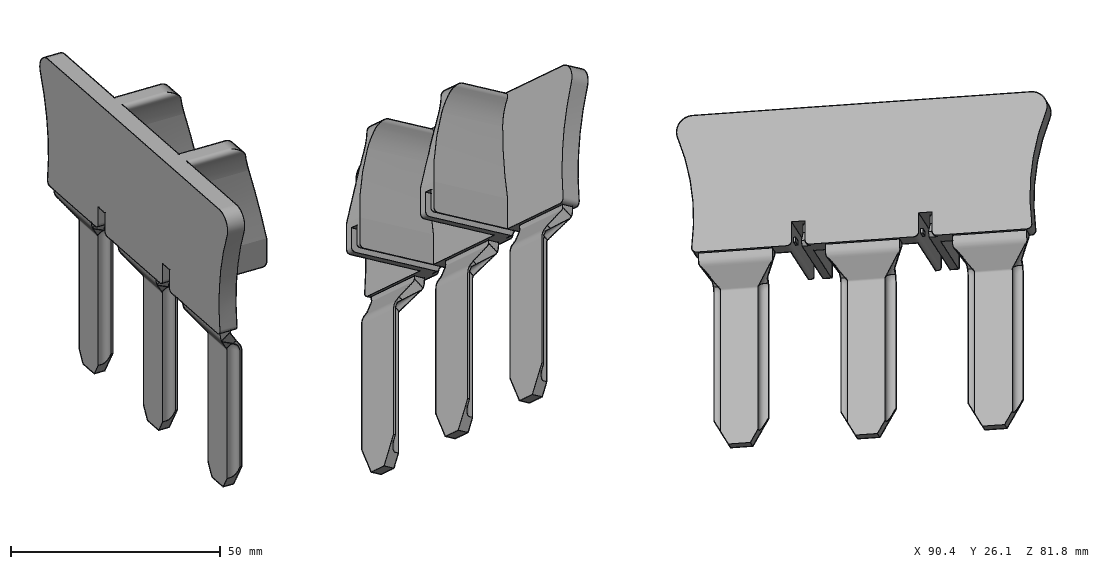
import cadquery as cq
import math


total_length = 90.4
plate_thickness = 4.7
plate_height = 34.6
fin_reach = 26.1
leg_pitch = 31.0
leg_centers = [-leg_pitch, 0.0, leg_pitch]
fin_centers = [-leg_pitch / 2, leg_pitch / 2]

plate_corner_radius = 4.0
plate_waist_half = 41.0
plate_waist_z = 8.5
bottom_round = 1.2

fin_half_width = 2.8
fin_edge_radius = 1.1
fin_waist_half = 0.7
fin_waist_z = 26.4
fin_straight_height = 7.6
fin_curve_mid = (23.9, 20.7)
fin_top_reach = 19.8
fin_top_round = 4.8

notch_half_width = 1.6
notch_height = 6.0
ridge_left = 0.7
ridge_depth = 2.3
ridge_slope_top = 3.8
ridge_tip_y = 0.3
ridge_tip_z = 1.2
ridge_foot_y = 1.1
nub_width = 0.5
nub_bottom = 1.6
nub_height = 1.2

strip_thickness = 2.9
strip_front_y = 0.9
leg_offset = 4.4
bend_angle = math.radians(36)
inner_bend_radius = 1.1
outer_bend_radius = inner_bend_radius + strip_thickness
bend_start_z = -0.9
bar_bottom = 8.1
bar_top = 16.3

leg_tip_z = -47.2
root_half_width = 9.0
leg_half_width = 6.7
taper_start_z = -2.6
taper_end_z = -6.9
tip_half_width = 2.7
tip_taper_z = -40.3

cove_wall_x = 4.6
cove_wall_depth = 0.9
cove_radius = 1.45
cove_start_x = 8.5
cove_start_scale = 0.05

margin = 0.9


def circle_point(center, radius, angle):
    return (center[0] + radius * math.cos(angle), center[1] + radius * math.sin(angle))


def flare_points(half_width, corner_radius, waist_half, waist_z):
    """Right-hand flare: a concave arc from the waist, tangent to a rounded top corner.

    Returns the arc radius and center, then the points: arc middle, arc end,
    corner middle, corner end.
    """
    corner = (half_width - corner_radius, plate_height - corner_radius)
    rise = corner[1] - waist_z
    inset = waist_half - corner[0]
    radius = (rise**2 + inset**2 - corner_radius**2) / (2 * (corner_radius - inset))
    center = (waist_half + radius, waist_z)
    tangent_angle = math.atan2(center[1] - corner[1], center[0] - corner[0])
    corner_mid_angle = (tangent_angle + math.pi / 2) / 2
    points = [
        circle_point(center, radius, math.pi + tangent_angle / 2),
        circle_point(corner, corner_radius, tangent_angle),
        circle_point(corner, corner_radius, corner_mid_angle),
        (corner[0], plate_height),
    ]
    return radius, center, points


def prism_along_y(sketch, y_start, y_end):
    """Extrude an XZ sketch from y_start to y_end."""
    return sketch.extrude(y_start - y_end).translate((0, y_start, 0))


def mirrored_x(half):
    return half.union(half.mirror("YZ"))


def make_plate():
    radius, center, flare = flare_points(
        total_length / 2, plate_corner_radius, plate_waist_half, plate_waist_z
    )
    _, arc_end, corner_mid, corner_end = flare
    foot_angle = math.pi + math.asin(plate_waist_z / radius)
    foot = circle_point(center, radius, foot_angle)
    outline = (
        cq.Workplane("XZ")
        .lineTo(foot[0], 0)
        .threePointArc((plate_waist_half, plate_waist_z), arc_end)
        .threePointArc(corner_mid, corner_end)
        .lineTo(0, plate_height)
        .close()
    )
    half = prism_along_y(outline, 0, plate_thickness)
    half = half.edges("|Y").edges("<Z").edges(">X").fillet(bottom_round)
    return mirrored_x(half)


def make_fin():
    _, _, flare = flare_points(fin_half_width, fin_edge_radius, fin_waist_half, fin_waist_z)
    arc_mid, arc_end, corner_mid, corner_end = flare
    drop = fin_waist_z - fin_straight_height
    spread = fin_half_width - fin_waist_half
    lower_radius = (drop**2 + spread**2) / (2 * spread)
    lower_center = (fin_waist_half + lower_radius, fin_waist_z)
    lower_mid = circle_point(lower_center, lower_radius, math.pi + math.asin(drop / lower_radius) / 2)
    section = (
        cq.Workplane("XZ")
        .lineTo(fin_half_width, 0)
        .lineTo(fin_half_width, fin_straight_height)
        .threePointArc(lower_mid, (fin_waist_half, fin_waist_z))
        .threePointArc(arc_mid, arc_end)
        .threePointArc(corner_mid, corner_end)
        .lineTo(0, plate_height)
        .close()
    )
    bar = mirrored_x(prism_along_y(section, 0, fin_reach))
    profile = (
        cq.Workplane("YZ")
        .lineTo(fin_reach, 0)
        .lineTo(fin_reach, fin_straight_height)
        .threePointArc(fin_curve_mid, (fin_top_reach, plate_height))
        .lineTo(0, plate_height)
        .close()
        .extrude(fin_half_width + margin, both=True)
    )
    profile = profile.edges("|X").edges(">Z").edges(">Y").fillet(fin_top_round)
    profile = profile.edges("|X").edges("<Z").edges(">Y").fillet(bottom_round)
    return bar.intersect(profile)


def notch_mouth_half(half_width):
    """Right half of a notch whose mouth is rounded outward at the bottom edge."""
    round_offset = bottom_round * (1 - math.sqrt(0.5))
    return (
        cq.Workplane("XZ")
        .lineTo(half_width + bottom_round, 0)
        .threePointArc((half_width + round_offset, round_offset), (half_width, bottom_round))
        .lineTo(half_width, notch_height)
        .lineTo(0, notch_height)
        .close()
    )


def make_notch():
    """Cutter: a slot through plate and fin, plus a relief in front of the ridge on its right."""
    right_half = prism_along_y(notch_mouth_half(notch_half_width), -margin, fin_reach + margin)
    left_half = right_half.mirror("YZ")
    right_slot = cq.Workplane("XY").box(
        ridge_left, fin_reach + 2 * margin, notch_height, centered=False
    ).translate((0, -margin, 0))
    relief = (
        cq.Workplane("YZ")
        .polyline([
            (-margin, 0),
            (ridge_foot_y, 0),
            (ridge_tip_y, ridge_tip_z),
            (ridge_depth, ridge_slope_top),
            (ridge_depth, notch_height),
            (-margin, notch_height),
        ])
        .close()
        .extrude(notch_half_width + bottom_round)
    )
    nub = cq.Workplane("XY").box(
        nub_width, plate_thickness - ridge_depth, nub_height, centered=False
    ).translate((-notch_half_width, ridge_depth, nub_bottom))
    return left_half.union(right_slot).union(right_half.intersect(relief)).cut(nub)


sin_bend = math.sin(bend_angle)
cos_bend = math.cos(bend_angle)
slope_drop = (
    leg_offset - (inner_bend_radius + outer_bend_radius) * (1 - cos_bend)
) / math.tan(bend_angle)
slope_top_y = strip_front_y + outer_bend_radius * (1 - cos_bend)
slope_top_z = bend_start_z - outer_bend_radius * sin_bend
slope_end_z = slope_top_z - slope_drop
bend_end_z = slope_end_z - inner_bend_radius * sin_bend
leg_front_y = strip_front_y + leg_offset


def make_strip():
    """Bent sheet profile extruded to the full root width."""
    upper_center = (strip_front_y + outer_bend_radius, bend_start_z)
    lower_center = (leg_front_y - inner_bend_radius, bend_end_z)

    def upper(radius, angle):
        return circle_point(upper_center, radius, math.pi + angle)

    def lower(radius, angle):
        return circle_point(lower_center, radius, angle)

    half_bend = bend_angle / 2
    return (
        cq.Workplane("YZ")
        .moveTo(strip_front_y, bar_top)
        .lineTo(strip_front_y, bend_start_z)
        .threePointArc(upper(outer_bend_radius, half_bend), upper(outer_bend_radius, bend_angle))
        .lineTo(*lower(inner_bend_radius, bend_angle))
        .threePointArc(lower(inner_bend_radius, half_bend), (leg_front_y, bend_end_z))
        .lineTo(leg_front_y, leg_tip_z)
        .lineTo(leg_front_y + strip_thickness, leg_tip_z)
        .lineTo(leg_front_y + strip_thickness, bend_end_z)
        .threePointArc(lower(outer_bend_radius, half_bend), lower(outer_bend_radius, bend_angle))
        .lineTo(*upper(inner_bend_radius, bend_angle))
        .threePointArc(
            upper(inner_bend_radius, half_bend), (strip_front_y + strip_thickness, bend_start_z)
        )
        .lineTo(strip_front_y + strip_thickness, bar_top)
        .close()
        .extrude(root_half_width, both=True)
    )


def symmetric_outline(plane, right_points):
    left_points = [(-x, z) for x, z in reversed(right_points)]
    return plane.polyline(right_points + left_points).close()


def make_shoulder():
    """Width of the leg, tapered square to the sloping part of the strip."""
    slope_plane = cq.Plane(
        origin=(0, slope_top_y, slope_top_z), xDir=(1, 0, 0), normal=(0, -cos_bend, -sin_bend)
    )

    def along_slope(z):
        return (z - slope_top_z) / cos_bend

    strip_length = bar_top - leg_tip_z
    right_points = [
        (root_half_width, strip_length),
        (root_half_width, along_slope(taper_start_z)),
        (leg_half_width, along_slope(taper_end_z)),
        (leg_half_width, -strip_length),
    ]
    return symmetric_outline(cq.Workplane(slope_plane), right_points).extrude(strip_length, both=True)


def make_tip():
    """Front silhouette that points the end of the leg."""
    right_points = [
        (root_half_width, bar_top),
        (root_half_width, bend_end_z),
        (leg_half_width, bend_end_z),
        (leg_half_width, tip_taper_z),
        (tip_half_width, leg_tip_z),
    ]
    outline = symmetric_outline(cq.Workplane("XZ"), right_points)
    return prism_along_y(outline, 0, fin_reach)


def cove_section(plane, wall_x, scale):
    """Cove section: wall, concave quarter round, ledge out past the side.

    The plane lies square to the strip, with its origin on the front face and its
    local y pointing into the thickness.
    """
    wall_depth = cove_wall_depth * scale
    radius = cove_radius * scale
    round_offset = radius * math.sqrt(0.5)
    outer_x = wall_x + leg_half_width
    return (
        cq.Workplane(plane)
        .moveTo(wall_x, -margin)
        .lineTo(wall_x, wall_depth)
        .threePointArc(
            (wall_x + radius - round_offset, wall_depth + round_offset),
            (wall_x + radius, wall_depth + radius),
        )
        .lineTo(outer_x, wall_depth + radius)
        .lineTo(outer_x, -margin)
        .close()
    )


def make_coves():
    """Cutter: coves straight along the leg, around the lower bend, then fading out up the slope."""
    leg_plane = cq.Plane(origin=(0, leg_front_y, bend_end_z), xDir=(1, 0, 0), normal=(0, 0, 1))
    up_slope = (0, -sin_bend, cos_bend)
    slope_end_y = slope_top_y + slope_drop * math.tan(bend_angle)
    slope_end = cq.Plane(origin=(0, slope_end_y, slope_end_z), xDir=(1, 0, 0), normal=up_slope)
    slope_top = cq.Plane(origin=(0, slope_top_y, slope_top_z), xDir=(1, 0, 0), normal=up_slope)

    straight = cove_section(leg_plane, cove_wall_x, 1).extrude(leg_tip_z - margin - bend_end_z)
    bend = cove_section(leg_plane, cove_wall_x, 1).revolve(
        math.degrees(bend_angle), (0, -inner_bend_radius), (1, -inner_bend_radius)
    )
    lower = cove_section(slope_end, cove_wall_x, 1).wires().val()
    upper = cove_section(slope_top, cove_start_x, cove_start_scale).wires().val()
    fade = cq.Workplane(cq.Solid.makeLoft([lower, upper], True))
    return mirrored_x(straight.union(bend).union(fade))


def make_comb():
    leg = make_strip().intersect(make_shoulder()).intersect(make_tip()).cut(make_coves())
    comb_length = 2 * (leg_pitch + root_half_width)
    bar = cq.Workplane("XY").box(
        comb_length, strip_thickness, bar_top - bar_bottom, centered=(True, False, False)
    ).translate((0, strip_front_y, bar_bottom))
    for x in leg_centers:
        bar = bar.union(leg.translate((x, 0, 0)))
    return bar


comb = make_comb()

housing = make_plate()
for fin_x in fin_centers:
    housing = housing.union(make_fin().translate((fin_x, 0, 0)))
for fin_x in fin_centers:
    housing = housing.cut(make_notch().translate((fin_x, 0, 0)))
housing = housing.cut(comb)

result = cq.Compound.makeCompound([housing.solids().val(), comb.solids().val()])